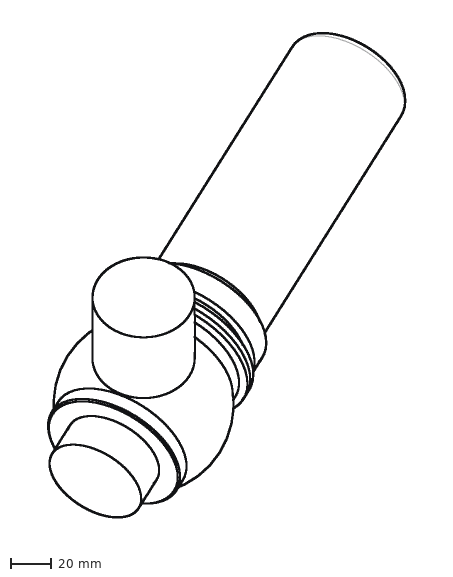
import cadquery as cq
import math


ball_radius = 44.7
pipe_diameter = 50.8
branch_top = 85.0
pipe_end = -54.2
collar_diameter = 73.0
collar_end = -34.0
collar_chamfer = 1.0

flange_diameter = 81.0
flange_cone_start = 33.2
flange_rim_start = 34.3
flange_joint = 37.5
flange_rim_end = 41.0
flange_cone_end = 43.9

overall_length = 288.5
neck_diameter = 65.0
band_diameter = 75.0
band_start = 48.5
band_rim_end = 61.7
tube_diameter = 64.0
tube_start = band_rim_end + (band_diameter - tube_diameter) / 2
tube_top = pipe_end + overall_length
dome_height = 1.5
corner_radius = 5.0
corner_start = tube_top - dome_height - corner_radius


def turned(profile):
    """Revolve a closed radius-against-Y profile about the Y axis."""
    return profile.revolve(360, (0, 0, 0), (0, 1, 0))


def make_valve():
    """Ball between two collars, half of the clamped flange, and two pipe stubs."""
    pipe_radius = pipe_diameter / 2
    collar_radius = collar_diameter / 2
    flange_radius = flange_diameter / 2
    ball_edge = math.sqrt(ball_radius**2 - collar_radius**2)
    run = (
        cq.Workplane("XY")
        .moveTo(0, pipe_end)
        .lineTo(pipe_radius, pipe_end)
        .lineTo(pipe_radius, collar_end)
        .lineTo(collar_radius - collar_chamfer, collar_end)
        .lineTo(collar_radius, collar_end + collar_chamfer)
        .lineTo(collar_radius, -ball_edge)
        .threePointArc((ball_radius, 0), (collar_radius, ball_edge))
        .lineTo(collar_radius, flange_cone_start)
        .lineTo(flange_radius, flange_rim_start)
        .lineTo(flange_radius, flange_joint)
        .lineTo(0, flange_joint)
        .close()
    )
    branch = cq.Workplane("XY").circle(pipe_radius).extrude(branch_top)
    return turned(run).union(branch)


def make_actuator():
    """Turned actuator: flange, neck, band and domed tube."""
    flange_radius = flange_diameter / 2
    neck_radius = neck_diameter / 2
    band_radius = band_diameter / 2
    tube_radius = tube_diameter / 2
    dome_edge = tube_radius - corner_radius
    dome_radius = (dome_edge**2 + dome_height**2) / (2 * dome_height)
    diagonal = math.sqrt(0.5)
    profile = (
        cq.Workplane("XY")
        .moveTo(0, flange_joint)
        .lineTo(flange_radius, flange_joint)
        .lineTo(flange_radius, flange_rim_end)
        .lineTo(neck_radius, flange_cone_end)
        .lineTo(neck_radius, band_start)
        .lineTo(band_radius, band_start)
        .lineTo(band_radius, band_rim_end)
        .lineTo(tube_radius, tube_start)
        .lineTo(tube_radius, corner_start)
        .threePointArc(
            (dome_edge + corner_radius * diagonal, corner_start + corner_radius * diagonal),
            (dome_edge, tube_top - dome_height),
        )
        .radiusArc((0, tube_top), -dome_radius)
        .close()
    )
    return turned(profile)


valve = make_valve()
actuator = make_actuator()

result = cq.Compound.makeCompound([valve.val(), actuator.val()])